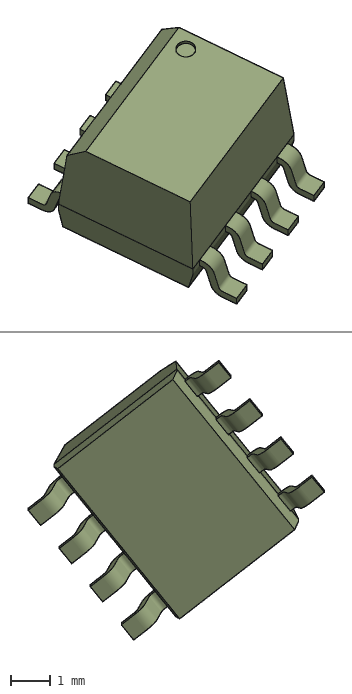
import cadquery as cq
import math

overall_length = 6.2
overall_height = 3.63

housing_length = 4.0
housing_width = 5.0
top_inset = 0.2
bottom_inset = 0.13
bevel_drop = 0.5
bevel_run = 0.695

lead_width = 0.51
lead_thickness = 0.25
lead_pitch = 1.27
leads_per_side = 4
lead_top = 1.13
lead_slant = 15.0
inner_bend = 0.125
outer_bend = inner_bend + lead_thickness
shoulder_flat = 0.075

mark_diameter = 0.5
mark_x = -0.8
mark_y = 1.8
mark_recess = 0.1

half_length = housing_length / 2
parting_z = lead_top
band_bottom_z = lead_top - lead_thickness
housing_bottom_z = lead_thickness


def make_upper_housing():
    """Tapered block above the parting line, beveled along the pin-1 side."""
    height = overall_height - parting_z
    block = (
        cq.Workplane("XY", origin=(0, 0, parting_z))
        .rect(housing_length, housing_width)
        .workplane(offset=height)
        .rect(housing_length - 2 * top_inset, housing_width - 2 * top_inset)
        .loft(ruled=True)
    )
    bevel_bottom_z = overall_height - bevel_drop
    bevel_bottom_x = -half_length + top_inset * (height - bevel_drop) / height
    bevel_top_x = -half_length + bevel_run
    bevel = (
        cq.Workplane("XZ")
        .moveTo(bevel_bottom_x, bevel_bottom_z)
        .lineTo(bevel_top_x, overall_height)
        .lineTo(-half_length, overall_height)
        .lineTo(-half_length, bevel_bottom_z)
        .close()
        .extrude(housing_width / 2, both=True)
    )
    return block.cut(bevel)


def make_lower_housing():
    """Prism below the parting line: an upright band, then sides that lean inward."""
    return (
        cq.Workplane("XZ")
        .moveTo(-half_length, parting_z)
        .lineTo(half_length, parting_z)
        .lineTo(half_length, band_bottom_z)
        .lineTo(half_length - bottom_inset, housing_bottom_z)
        .lineTo(-half_length + bottom_inset, housing_bottom_z)
        .lineTo(-half_length, band_bottom_z)
        .close()
        .extrude(housing_width / 2, both=True)
    )


def make_mark_recess():
    return (
        cq.Workplane("XY", origin=(mark_x, mark_y, overall_height - mark_recess))
        .circle(mark_diameter / 2)
        .extrude(mark_recess)
    )


def make_left_lead(y):
    """Gull-wing lead on the -X side, centered at the given Y."""
    foot_end_x = -overall_length / 2
    bend_angle = 90 - lead_slant
    slant_run = math.tan(math.radians(lead_slant))
    outer_setback = outer_bend * math.tan(math.radians(bend_angle / 2))
    corner_shift = lead_thickness * math.tan(math.radians(bend_angle / 2))

    shoulder_upper_x = -half_length - shoulder_flat - outer_setback
    shoulder_lower_x = shoulder_upper_x + corner_shift
    foot_upper_x = shoulder_upper_x - (lead_top - lead_thickness) * slant_run
    foot_lower_x = foot_upper_x + corner_shift

    lead = (
        cq.Workplane("XZ", origin=(0, y, 0))
        .moveTo(foot_end_x, 0)
        .lineTo(foot_lower_x, 0)
        .lineTo(shoulder_lower_x, band_bottom_z)
        .lineTo(-half_length, band_bottom_z)
        .lineTo(-half_length, lead_top)
        .lineTo(shoulder_upper_x, lead_top)
        .lineTo(foot_upper_x, lead_thickness)
        .lineTo(foot_end_x, lead_thickness)
        .close()
        .extrude(lead_width / 2, both=True)
    )

    def edge_at(x, z):
        return cq.selectors.NearestToPointSelector((x, y, z))

    lead = lead.edges(edge_at(foot_lower_x, 0)).fillet(outer_bend)
    lead = lead.edges(edge_at(shoulder_upper_x, lead_top)).fillet(outer_bend)
    lead = lead.edges(edge_at(shoulder_lower_x, band_bottom_z)).fillet(inner_bend)
    return lead.edges(edge_at(foot_upper_x, lead_thickness)).fillet(inner_bend)


upper_housing = make_upper_housing().cut(make_mark_recess())
lower_housing = make_lower_housing()

leads = []
for i in range(leads_per_side):
    lead_y = (i - (leads_per_side - 1) / 2) * lead_pitch
    left_lead = make_left_lead(lead_y)
    leads.append(left_lead)
    leads.append(left_lead.mirror("YZ"))

result = cq.Compound.makeCompound(
    [upper_housing.val(), lower_housing.val(), *[lead.val() for lead in leads]]
)